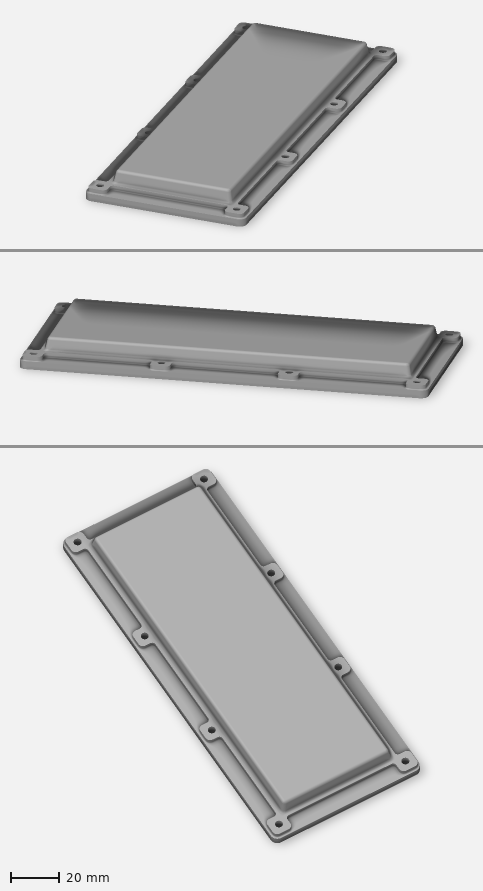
import cadquery as cq
width = 71.2
length = 172.7
height = 11.0

flange_top = 3.3
flange_corner_radius = 3.1

rim_top = 5.4
rim_inset = 6.9
pad_size = 8.5
pad_corner_radius = 2.0
pad_blend_radius = 1.5
pad_foot_radius = 0.5

hole_diameter = 3.3
hole_inset = 5.2
holes_per_side = 4

dome_inset_x = 9.2
dome_inset_y = 8.8
dome_draft = 11.0
dome_corner_radius = 1.5
dome_top_radius = 1.4
dome_foot_radius = 1.0

tolerance = 0.02

rim_half_width = width / 2 - rim_inset
rim_half_length = length / 2 - rim_inset
hole_x = width / 2 - hole_inset
first_hole_y = hole_inset - length / 2
hole_pitch = -2 * first_hole_y / (holes_per_side - 1)
hole_points = [
    (x, first_hole_y + index * hole_pitch)
    for x in (-hole_x, hole_x)
    for index in range(holes_per_side)
]


def is_on_rim_wall(edge):
    center = edge.Center()
    on_long_wall = abs(abs(center.x) - rim_half_width) < tolerance
    on_short_wall = abs(abs(center.y) - rim_half_length) < tolerance
    return on_long_wall or on_short_wall


def is_step_foot(edge, level, step_half_width, step_half_length):
    """True for an edge that lies flat at the level, inside the given half sizes."""
    box = edge.BoundingBox()
    is_flat = abs(box.zmin - level) < tolerance and abs(box.zmax - level) < tolerance
    inside_x = max(abs(box.xmin), abs(box.xmax)) < step_half_width
    inside_y = max(abs(box.ymin), abs(box.ymax)) < step_half_length
    return is_flat and inside_x and inside_y


def make_flange():
    plate = cq.Workplane("XY").rect(width, length).extrude(flange_top)
    return plate.edges("|Z").fillet(flange_corner_radius)


def make_rim_with_pads():
    rim_height = rim_top - flange_top
    base = cq.Workplane("XY").workplane(offset=flange_top)
    rim = base.rect(2 * rim_half_width, 2 * rim_half_length).extrude(rim_height)
    pads = base.pushPoints(hole_points).rect(pad_size, pad_size).extrude(rim_height)
    pads = pads.edges("|Z").fillet(pad_corner_radius)
    return rim.union(pads).edges("|Z").filter(is_on_rim_wall).fillet(pad_blend_radius)


def make_dome():
    dome_width = width - 2 * dome_inset_x
    dome_length = length - 2 * dome_inset_y
    base = cq.Workplane("XY").workplane(offset=rim_top)
    dome = base.rect(dome_width, dome_length).extrude(height - rim_top, taper=dome_draft)
    dome = dome.edges("not(#Z)").fillet(dome_corner_radius)
    return dome.faces(">Z").edges().fillet(dome_top_radius)


def fillet_foot(solid, level, step_half_width, step_half_length, radius):
    feet = solid.edges().filter(
        lambda edge: is_step_foot(edge, level, step_half_width, step_half_length)
    )
    return feet.fillet(radius)


body = make_flange().union(make_rim_with_pads())
body = fillet_foot(body, flange_top, width / 2 - tolerance, length / 2 - tolerance, pad_foot_radius)
body = body.union(make_dome())
body = fillet_foot(body, rim_top, rim_half_width - tolerance, rim_half_length - tolerance, dome_foot_radius)

holes = cq.Workplane("XY").pushPoints(hole_points).circle(hole_diameter / 2).extrude(height)
result = body.cut(holes)